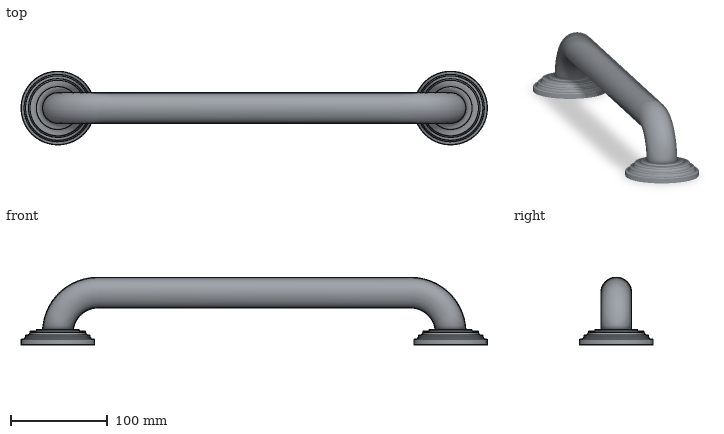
import cadquery as cq

overall_length = 482.6
flange_diameter = 76.2
overall_height = 69.85

tube_diameter = 31.75
bend_radius = 41.275

flange_radius = flange_diameter / 2
base_tier_top = 5.8
base_ledge_inner_radius = 34.9
middle_rim_radius = 33.4
middle_rim_bottom = 8.2
middle_tier_top = 10.0
middle_ledge_inner_radius = 30.4
upper_rim_radius = 28.8
upper_rim_bottom = 12.5
upper_tier_top = 14.2
collar_radius = 22.2
flange_height = 15.875
rim_rounding = 1.0

post_offset = (overall_length - flange_diameter) / 2
axis_height = overall_height - tube_diameter / 2
straight_half_length = post_offset - bend_radius
bend_start_height = axis_height - bend_radius


def add_rounded_rim(section, radius, top):
    """Continue a half section up an upright rim and around its rounded upper edge."""
    return section.lineTo(radius, top - rim_rounding).radiusArc((radius - rim_rounding, top), -rim_rounding)


def make_flange():
    """Stepped mounting flange, revolved about the Z axis and seated on Z = 0."""
    section = cq.Workplane("XZ").lineTo(flange_radius, 0)
    section = add_rounded_rim(section, flange_radius, base_tier_top)
    section = section.lineTo(base_ledge_inner_radius, base_tier_top)
    section = section.lineTo(middle_rim_radius, middle_rim_bottom)
    section = add_rounded_rim(section, middle_rim_radius, middle_tier_top)
    section = section.lineTo(middle_ledge_inner_radius, middle_tier_top)
    section = section.lineTo(upper_rim_radius, upper_rim_bottom)
    section = add_rounded_rim(section, upper_rim_radius, upper_tier_top)
    section = section.lineTo(collar_radius, upper_tier_top)
    section = add_rounded_rim(section, collar_radius, flange_height)
    section = section.lineTo(0, flange_height).close()
    return section.revolve(360, (0, 0), (0, 1))


def make_tube():
    """Round bar swept up one post, along the grip and down the other post."""
    path = (
        cq.Workplane("XZ")
        .moveTo(-post_offset, 0)
        .lineTo(-post_offset, bend_start_height)
        .radiusArc((-straight_half_length, axis_height), bend_radius)
        .lineTo(straight_half_length, axis_height)
        .radiusArc((post_offset, bend_start_height), bend_radius)
        .lineTo(post_offset, 0)
    )
    return cq.Workplane("XY").center(-post_offset, 0).circle(tube_diameter / 2).sweep(path)


flange = make_flange()
result = make_tube()
for side in (-1, 1):
    result = result.union(flange.translate((side * post_offset, 0, 0)))